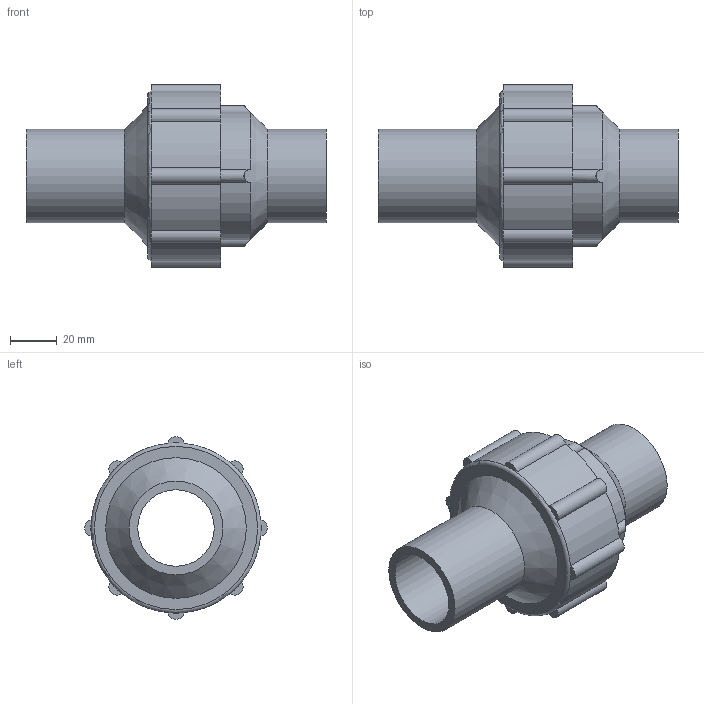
import cadquery as cq


total_length = 128.0
spigot_radius = 40.0 / 2
bore_radius = 32.6 / 2

shoulder_radius = 30.0
shoulder_rise = shoulder_radius - spigot_radius
left_spigot_length = 42.0
right_spigot_length = 25.0

nut_start = left_spigot_length + shoulder_rise
nut_end = 83.0
nut_radius = 36.3
nut_edge_fillet = 1.5

nut_rib_count = 8
nut_rib_radius = 3.6
nut_rib_tip_radius = 39.0
nut_rib_start = nut_start + nut_edge_fillet

tail_rib_count = 4
tail_rib_radius = 2.65
tail_radius = 27.4
right_cone_end = total_length - right_spigot_length
right_cone_start = right_cone_end - shoulder_rise
tail_end = right_cone_end - (tail_radius - spigot_radius)


def revolve_about_x(points):
    """Solid of revolution about X from (x, radius) points, closed along the axis."""
    return cq.Workplane("XY").polyline(points).close().revolve(360, (0, 0, 0), (1, 0, 0))


def make_ribs(count, radius, centre_radius, start, end):
    """Round bars parallel to X, evenly spaced around the axis."""
    return (
        cq.Workplane("YZ", origin=(start, 0, 0))
        .polarArray(centre_radius, 0, 360, count)
        .circle(radius)
        .extrude(end - start)
    )


def make_pipe_body():
    """Spigots, left shoulder cone and the tail body with its cone."""
    return revolve_about_x([
        (0, 0),
        (0, spigot_radius),
        (left_spigot_length, spigot_radius),
        (nut_start, shoulder_radius),
        (nut_end, shoulder_radius),
        (nut_end, tail_radius),
        (tail_end, tail_radius),
        (right_cone_end, spigot_radius),
        (total_length, spigot_radius),
        (total_length, 0),
    ])


def make_nut():
    """Plain nut ring with a rounded front edge, carrying the grip ribs."""
    nut = cq.Workplane("YZ", origin=(nut_start, 0, 0)).circle(nut_radius).extrude(nut_end - nut_start)
    nut = nut.faces("<X").edges().fillet(nut_edge_fillet)
    rib_centre_radius = nut_rib_tip_radius - nut_rib_radius
    ribs = make_ribs(nut_rib_count, nut_rib_radius, rib_centre_radius, nut_rib_start, nut_end)
    return nut.union(ribs)


def make_tail_ribs():
    """Tail ribs trimmed to the line of the right shoulder cone."""
    rib_centre_radius = shoulder_radius - tail_rib_radius
    ribs = make_ribs(tail_rib_count, tail_rib_radius, rib_centre_radius, nut_end, right_cone_end)
    envelope = revolve_about_x([
        (nut_end, 0),
        (nut_end, shoulder_radius),
        (right_cone_start, shoulder_radius),
        (right_cone_end, spigot_radius),
        (right_cone_end, 0),
    ])
    return ribs.intersect(envelope)


bore = cq.Workplane("YZ").circle(bore_radius).extrude(total_length)

result = make_pipe_body().union(make_nut()).union(make_tail_ribs()).cut(bore)